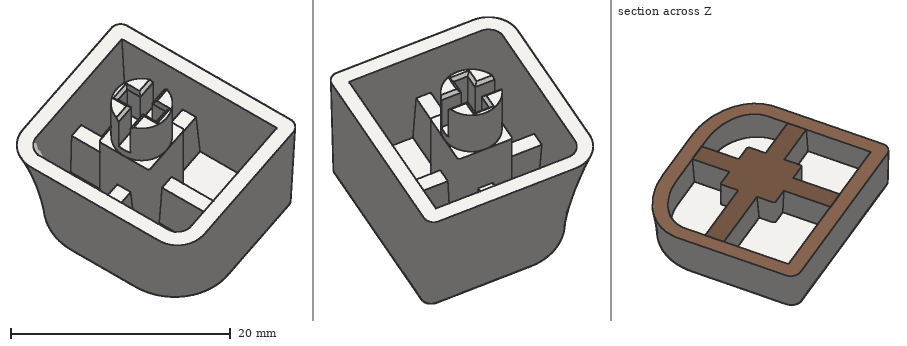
import cadquery as cq
import math


CAP_WIDTH = 20.25
CAP_DEPTH = 18.0
CAP_HEIGHT = 12.0
STEM_FROM_LEFT = 9.01
SIDE_DRAFT = 0.5
FRONT_DRAFT = 1.48
BACK_RADIUS = 1.01
FRONT_RADIUS_RIM = 3.0
FRONT_RADIUS_BASE = 2 * FRONT_RADIUS_RIM
FRONT_REACH_MIDDLE = 6.6
BASE_CHAMFER = 0.25
WALL = 1.5
FLOOR = 1.5

STEM_TOP = 16.5
POST_DIAMETER = 5.59
POST_HEIGHT = 5.0
BLOCK_EDGE_RADIUS = 0.25
CROSS_DEPTH = 4.05
CROSS_Y_SLOT_WIDTH = 1.3
CROSS_X_SLOT_WIDTH = 1.42
CROSS_X_SLOT_LENGTH = 4.25
CROSS_CHAMFER = 0.32

RIB_TOP_WIDTH = 1.5
RIB_BASE_WIDTH = 2.39
RIB_TOP = 6.48

LEFT = -STEM_FROM_LEFT
RIGHT = LEFT + CAP_WIDTH
BACK = CAP_DEPTH / 2
FRONT = -CAP_DEPTH / 2
BLOCK_TOP = STEM_TOP - POST_HEIGHT
QUARTER_HANDLE = 4 / 3 * (math.sqrt(2) - 1)
DIAGONAL = 1 - math.sqrt(0.5)


def front_corner_reach(rise):
    """How far a front corner curve runs along the front wall; it is longest at mid height."""
    if rise < 0.5:
        return FRONT_RADIUS_BASE + (FRONT_REACH_MIDDLE - FRONT_RADIUS_BASE) * rise / 0.5
    return FRONT_REACH_MIDDLE + (FRONT_RADIUS_RIM - FRONT_REACH_MIDDLE) * (rise - 0.5) / 0.5


def cap_outline(z, inset=0.0):
    """Cap outline at height z, moved inward by inset; an inset outline has square back corners."""
    rise = z / CAP_HEIGHT
    side_lean = SIDE_DRAFT * (1 - rise)
    left = LEFT + side_lean + inset
    right = RIGHT - side_lean - inset
    back = BACK - inset
    front = FRONT + FRONT_DRAFT * (1 - rise) + inset
    reach_x = front_corner_reach(rise) - inset
    reach_y = FRONT_RADIUS_BASE + (FRONT_RADIUS_RIM - FRONT_RADIUS_BASE) * rise - inset
    handle_x = reach_x * (1 - QUARTER_HANDLE)
    handle_y = reach_y * (1 - QUARTER_HANDLE)
    back_radius = max(BACK_RADIUS - inset, 0)
    back_mid = back_radius * DIAGONAL

    outline = (
        cq.Workplane("XY", origin=(0, 0, z))
        .moveTo(left + reach_x, front)
        .lineTo(right - reach_x, front)
        .bezier(
            [(right - handle_x, front), (right, front + handle_y), (right, front + reach_y)],
            includeCurrent=True,
        )
        .lineTo(right, back - back_radius)
    )
    if back_radius > 0:
        outline = outline.threePointArc((right - back_mid, back - back_mid), (right - back_radius, back))
    outline = outline.lineTo(left + back_radius, back)
    if back_radius > 0:
        outline = outline.threePointArc((left + back_mid, back - back_mid), (left, back - back_radius))
    outline = (
        outline.lineTo(left, front + reach_y)
        .bezier(
            [(left, front + handle_y), (left + handle_x, front), (left + reach_x, front)],
            includeCurrent=True,
        )
        .close()
    )
    return outline.wire().val()


def loft_outlines(bottom, inset):
    """Solid from height bottom up to the rim, blended smoothly through the mid-height outline."""
    heights = (bottom, CAP_HEIGHT / 2, CAP_HEIGHT)
    return cq.Workplane(cq.Solid.makeLoft([cap_outline(z, inset) for z in heights]))


def make_cavity():
    return loft_outlines(FLOOR, WALL)


def make_cap():
    body = loft_outlines(0, 0)
    return body.faces("<Z").chamfer(BASE_CHAMFER).cut(make_cavity())


def make_rib(plane):
    """Tapered rib, centred on the stem axis and running along the normal of the plane."""
    return (
        cq.Workplane(plane)
        .polyline([
            (-RIB_BASE_WIDTH / 2, FLOOR),
            (RIB_BASE_WIDTH / 2, FLOOR),
            (RIB_TOP_WIDTH / 2, RIB_TOP),
            (-RIB_TOP_WIDTH / 2, RIB_TOP),
        ])
        .close()
        .extrude(CAP_WIDTH, both=True)
    )


def make_slot(length, width):
    """Slot down from the stem top, with a chamfered mouth on all sides."""
    slot = (
        cq.Workplane("XY", origin=(0, 0, STEM_TOP))
        .rect(length, width)
        .extrude(-CROSS_DEPTH)
    )
    mouth = (
        cq.Workplane("XY", origin=(0, 0, STEM_TOP))
        .rect(length + 2 * CROSS_CHAMFER, width + 2 * CROSS_CHAMFER)
        .workplane(offset=-CROSS_CHAMFER)
        .rect(length, width)
        .loft(ruled=True)
    )
    return slot.union(mouth)


def make_stem():
    block = (
        cq.Workplane("XY", origin=(0, 0, FLOOR))
        .rect(POST_DIAMETER, POST_DIAMETER)
        .extrude(BLOCK_TOP - FLOOR)
        .edges("|Z")
        .fillet(BLOCK_EDGE_RADIUS)
    )
    post = (
        cq.Workplane("XY", origin=(0, 0, BLOCK_TOP))
        .circle(POST_DIAMETER / 2)
        .extrude(POST_HEIGHT)
    )
    ribs = make_rib("XZ").union(make_rib("YZ")).intersect(make_cavity())
    x_slot = make_slot(CROSS_X_SLOT_LENGTH, CROSS_X_SLOT_WIDTH)
    y_slot = make_slot(CROSS_Y_SLOT_WIDTH, 2 * POST_DIAMETER)
    stem_body = block.union(post).union(ribs)
    return stem_body.cut(x_slot).cut(y_slot)


cap = make_cap()
stem = make_stem()

result = cq.Compound.makeCompound([cap.solids().val(), stem.solids().val()])